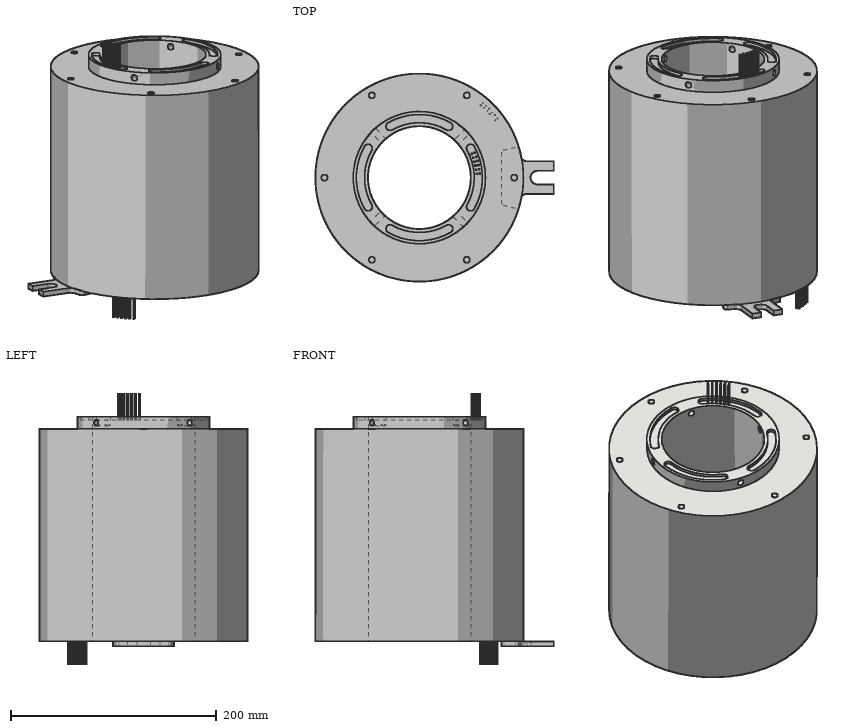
import cadquery as cq
import math

body_radius = 101.5
body_height = 207.0
bore_radius = 50.0

collar_radius = 64.5
collar_height = 12.0
collar_top = body_height + collar_height

slot_count = 4
slot_radius = 57.5
slot_width = 8.0
slot_sweep = 59.5
slot_depth = 3.0
slot_floor = collar_top - slot_depth

screw_hole_count = 4
screw_hole_diameter = 6.0
screw_hole_first_angle = 44.2

recess_count = 6
recess_circle_radius = 92.5
recess_diameter = 6.0
recess_depth = 0.5

wire_diameter = 1.2
rotor_wire_length = 22.1
stator_wire_length = 22.4
wires_per_row = 6
wire_pitch = 4.1
wire_row_gap = 3.0
wire_embed = 2.0
rotor_wire_radius = slot_radius
rotor_wire_angle = 14.1
stator_wire_radius = 94.0
stator_wire_angle = 43.6

fork_thickness = 5.0
fork_reach = 131.0
fork_inner_x = 80.0
fork_inner_half_width = 26.5
fork_side_angle = 13.5
fork_side_length = 16.6
fork_corner_radius = 3.0
fork_arm_fillet = 6.5
fork_arm_half_width = 16.0
fork_slot_width = 13.0
fork_slot_end_x = 108.5


def polar(radius, angle):
    """Point at the given radius and angle in degrees."""
    turn = math.radians(angle)
    return radius * math.cos(turn), radius * math.sin(turn)


def make_housing():
    body = cq.Workplane("XY").circle(body_radius).extrude(body_height)
    collar = cq.Workplane("XY").workplane(offset=body_height).circle(collar_radius).extrude(collar_height)
    bore = cq.Workplane("XY").circle(bore_radius).extrude(collar_top)
    return body.union(collar).cut(bore)


def make_collar_slot(mid_angle):
    start = mid_angle - slot_sweep / 2
    end = mid_angle + slot_sweep / 2
    inner = slot_radius - slot_width / 2
    outer = slot_radius + slot_width / 2
    return (
        cq.Workplane("XY")
        .workplane(offset=slot_floor)
        .moveTo(*polar(outer, start))
        .threePointArc(polar(outer, mid_angle), polar(outer, end))
        .tangentArcPoint(polar(inner, end), relative=False)
        .threePointArc(polar(inner, mid_angle), polar(inner, start))
        .tangentArcPoint(polar(outer, start), relative=False)
        .close()
        .extrude(slot_depth)
    )


def make_screw_hole(angle):
    return (
        cq.Workplane("YZ")
        .center(0, body_height + collar_height / 2)
        .circle(screw_hole_diameter / 2)
        .extrude(body_radius)
        .rotate((0, 0, 0), (0, 0, 1), angle)
    )


def make_recesses():
    return (
        cq.Workplane("XY")
        .workplane(offset=body_height - recess_depth)
        .polarArray(recess_circle_radius, 0, 360, recess_count)
        .circle(recess_diameter / 2)
        .extrude(recess_depth)
    )


def make_wires(mean_radius, mid_angle, bottom, top):
    """Two concentric rows of wires, centred on one radius and angle."""
    angle_step = math.degrees(wire_pitch / mean_radius)
    first_angle = mid_angle - angle_step * (wires_per_row - 1) / 2
    points = [
        polar(mean_radius + side * wire_row_gap / 2, first_angle + index * angle_step)
        for side in (-1, 1)
        for index in range(wires_per_row)
    ]
    return (
        cq.Workplane("XY")
        .workplane(offset=bottom)
        .pushPoints(points)
        .circle(wire_diameter / 2)
        .extrude(top - bottom)
    )


def round_upright_edges(plate, low_x, high_x, radius):
    """Fillet the fork's vertical edges lying between two X positions."""
    region = cq.selectors.BoxSelector(
        (low_x, -body_radius, -fork_thickness),
        (high_x, body_radius, 0),
    )
    return plate.edges("|Z").edges(region).fillet(radius)


def make_fork():
    slope = math.radians(fork_side_angle)
    corner_x = fork_inner_x + fork_side_length * math.cos(slope)
    corner_y = fork_inner_half_width + fork_side_length * math.sin(slope)
    shoulder_x = corner_x + (corner_y - fork_arm_half_width) * math.tan(slope)
    upper_half = [
        (fork_inner_x, fork_inner_half_width),
        (corner_x, corner_y),
        (shoulder_x, fork_arm_half_width),
        (fork_reach, fork_arm_half_width),
    ]
    lower_half = [(x, -y) for x, y in reversed(upper_half)]
    plate = (
        cq.Workplane("XY")
        .workplane(offset=-fork_thickness)
        .polyline(upper_half + lower_half)
        .close()
        .extrude(fork_thickness)
    )

    shoulder_start = (corner_x + shoulder_x) / 2
    shoulder_end = (shoulder_x + fork_reach) / 2
    plate = round_upright_edges(plate, 0, shoulder_start, fork_corner_radius)
    plate = round_upright_edges(plate, shoulder_start, shoulder_end, fork_arm_fillet)

    slot_length = 2 * (fork_reach - fork_slot_end_x)
    slot = (
        cq.Workplane("XY")
        .workplane(offset=-fork_thickness)
        .center(fork_slot_end_x + slot_length / 2, 0)
        .slot2D(slot_length, fork_slot_width)
        .extrude(fork_thickness)
    )
    return plate.cut(slot)


part = make_housing()
for index in range(slot_count):
    part = part.cut(make_collar_slot(index * 360 / slot_count))
for index in range(screw_hole_count):
    part = part.cut(make_screw_hole(screw_hole_first_angle + index * 360 / screw_hole_count))
part = part.cut(make_recesses())
part = part.union(make_fork())

rotor_wires = make_wires(
    rotor_wire_radius, rotor_wire_angle, slot_floor - wire_embed, collar_top + rotor_wire_length
)
stator_wires = make_wires(stator_wire_radius, stator_wire_angle, -stator_wire_length, wire_embed)
result = part.union(rotor_wires).union(stator_wires)